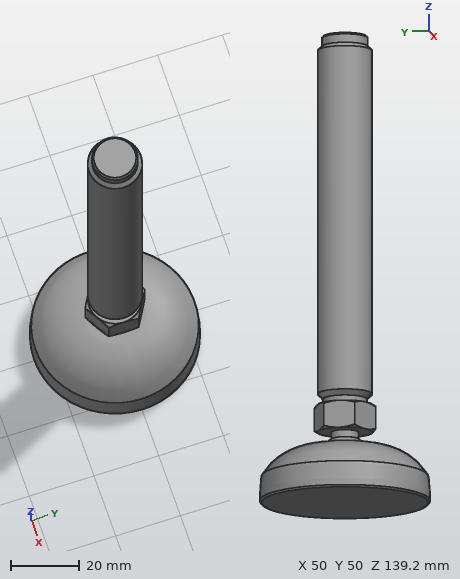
import cadquery as cq
import math

height = 139.2
pad_top = 2.5
rim_bottom = 7.0
rim_top = 7.8
dome_top = 16.5
hex_bottom = 21.0
hex_top = 29.1
shaft_bottom = 32.5
shaft_top = 134.9

foot_radius = 50.0 / 2
foot_chamfer = 0.5
rim_bottom_radius = 24.6
rim_top_radius = 24.5
dome_flat_radius = 9.0

ball_radius = 14.5 / 2
neck_radius = 8.1 / 2
neck_bottom = 19.0

shaft_radius = 16.0 / 2
undercut_radius = 13.0 / 2
tip_radius = 13.5 / 2
tip_chamfer = 0.5

across_flats = 16.0
hex_face_radius = across_flats / 2
hex_chamfer_angle = 30


def make_foot():
    """Domed disc whose arc leaves the flat top tangentially."""
    arc_width = rim_top_radius - dome_flat_radius
    arc_drop = dome_top - rim_top
    arc_radius = (arc_width**2 + arc_drop**2) / (2 * arc_drop)
    half_sweep = math.asin(arc_width / arc_radius) / 2
    arc_middle = (
        dome_flat_radius + arc_radius * math.sin(half_sweep),
        dome_top - arc_radius * (1 - math.cos(half_sweep)),
    )
    return (
        cq.Workplane("XZ")
        .lineTo(foot_radius - foot_chamfer, 0)
        .lineTo(foot_radius, foot_chamfer)
        .lineTo(foot_radius, pad_top)
        .lineTo(rim_bottom_radius, rim_bottom)
        .lineTo(rim_top_radius, rim_top)
        .threePointArc(arc_middle, (dome_flat_radius, dome_top))
        .lineTo(0, dome_top)
        .close()
        .revolve(360, (0, 0), (0, 1))
    )


def make_ball_neck():
    """Ball seated in the foot, with the thin neck rising out of it."""
    ball_center = neck_bottom - math.sqrt(ball_radius**2 - neck_radius**2)
    ball = cq.Workplane("XY").sphere(ball_radius).translate((0, 0, ball_center))
    neck = cq.Workplane("XY", origin=(0, 0, ball_center)).circle(neck_radius).extrude(hex_bottom - ball_center)
    return ball.union(neck)


def make_hexagon():
    """Hexagon with its corners turned off by a cone at both ends."""
    corner_radius = across_flats / math.sqrt(3)
    corner_drop = (corner_radius - hex_face_radius) * math.tan(math.radians(hex_chamfer_angle))
    prism = (
        cq.Workplane("XY", origin=(0, 0, hex_bottom))
        .polygon(6, 2 * corner_radius)
        .extrude(hex_top - hex_bottom)
        .rotate((0, 0, 0), (0, 0, 1), 30)
    )
    envelope = (
        cq.Workplane("XZ")
        .moveTo(0, hex_bottom)
        .lineTo(hex_face_radius, hex_bottom)
        .lineTo(corner_radius, hex_bottom + corner_drop)
        .lineTo(corner_radius, hex_top - corner_drop)
        .lineTo(hex_face_radius, hex_top)
        .lineTo(0, hex_top)
        .close()
        .revolve(360, (0, 0), (0, 1))
    )
    return prism.intersect(envelope)


def make_spindle():
    """Undercut, plain shaft and reduced tip, joined by 45 degree tapers."""
    return (
        cq.Workplane("XZ")
        .moveTo(0, hex_top)
        .lineTo(undercut_radius, hex_top)
        .lineTo(undercut_radius, shaft_bottom - (shaft_radius - undercut_radius))
        .lineTo(shaft_radius, shaft_bottom)
        .lineTo(shaft_radius, shaft_top)
        .lineTo(tip_radius, shaft_top + (shaft_radius - tip_radius))
        .lineTo(tip_radius, height - tip_chamfer)
        .lineTo(tip_radius - tip_chamfer, height)
        .lineTo(0, height)
        .close()
        .revolve(360, (0, 0), (0, 1))
    )


result = make_foot().union(make_ball_neck()).union(make_hexagon()).union(make_spindle())